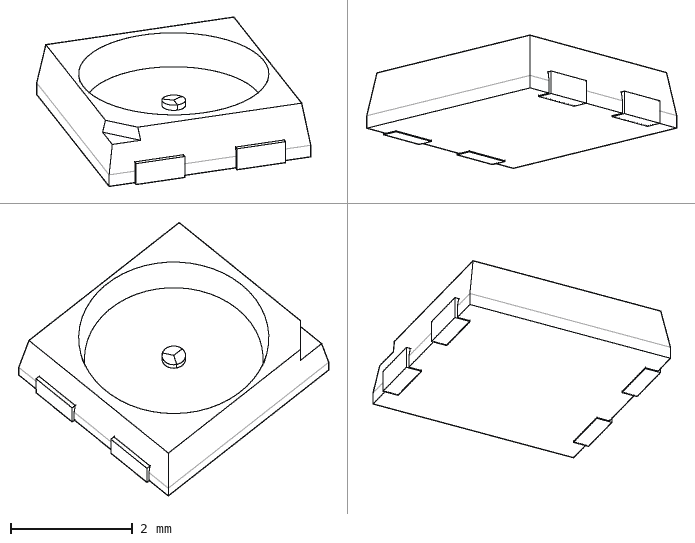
import cadquery as cq
import math

overall_length = 3.79
overall_height = 0.96
lead_protrusion = 0.045
lead_standoff = 0.015

housing_length = overall_length - 2 * lead_protrusion
housing_width = 3.5
plinth_top = 0.227
wall_taper = 9.2
housing_height = overall_height - lead_standoff

cup_top_radius = 1.56
cup_floor_radius = 1.465
cup_depth = 0.572
cup_floor = overall_height - cup_depth

notch_depth = 0.227
notch_leg = 0.655

lead_width = 0.845
lead_top = 0.383
lead_foot = 0.28
lead_thickness = 0.1
lead_offset = housing_width / 4

chip_radius = 0.195
chip_height = 0.095
chip_count = 3
chip_angle = 360 / chip_count


def make_lead(x_side, y_center):
    """L-shaped strip: an upright on the end face and a foot turned inward."""
    outer = overall_length / 2
    profile = [
        (outer, 0),
        (outer, lead_top),
        (outer - lead_thickness, lead_top),
        (outer - lead_thickness, lead_thickness),
        (outer - lead_foot, lead_thickness),
        (outer - lead_foot, 0),
    ]
    points = [(x_side * x, z) for x, z in profile]
    strip = cq.Workplane("XZ").polyline(points).close().extrude(lead_width / 2, both=True)
    return strip.translate((0, y_center, 0))


def make_housing(leads):
    """Tapered block with the cup, the corner notch and the lead recesses."""
    plinth_height = plinth_top - lead_standoff
    plinth = (
        cq.Workplane("XY", origin=(0, 0, lead_standoff))
        .rect(housing_length, housing_width)
        .extrude(plinth_height)
    )
    upper = (
        cq.Workplane("XY", origin=(0, 0, plinth_top))
        .rect(housing_length, housing_width)
        .extrude(housing_height - plinth_height, taper=wall_taper)
    )
    cup = cq.Workplane(
        cq.Solid.makeCone(cup_floor_radius, cup_top_radius, cup_depth, pnt=cq.Vector(0, 0, cup_floor))
    )
    corner_x = housing_length / 2
    corner_y = -housing_width / 2
    notch = (
        cq.Workplane("XY", origin=(0, 0, overall_height - notch_depth))
        .polyline([
            (corner_x, corner_y),
            (corner_x, corner_y + notch_leg),
            (corner_x - notch_leg, corner_y),
        ])
        .close()
        .extrude(notch_depth)
    )
    housing = plinth.union(upper).cut(cup).cut(notch)
    for lead in leads:
        housing = housing.cut(lead)
    return housing


def make_chip(start_angle):
    """One sector of the disc standing on the cup floor."""
    def rim_point(angle):
        radians = math.radians(angle)
        return (chip_radius * math.cos(radians), chip_radius * math.sin(radians))

    return (
        cq.Workplane("XY", origin=(0, 0, cup_floor))
        .lineTo(*rim_point(start_angle))
        .threePointArc(rim_point(start_angle + chip_angle / 2), rim_point(start_angle + chip_angle))
        .close()
        .extrude(chip_height)
    )


leads = [
    make_lead(x_side, y_side * lead_offset)
    for x_side in (-1, 1)
    for y_side in (-1, 1)
]
housing = make_housing(leads)
chips = [make_chip(index * chip_angle) for index in range(chip_count)]

result = cq.Compound.makeCompound([
    housing.val(),
    *[lead.val() for lead in leads],
    *[chip.val() for chip in chips],
])